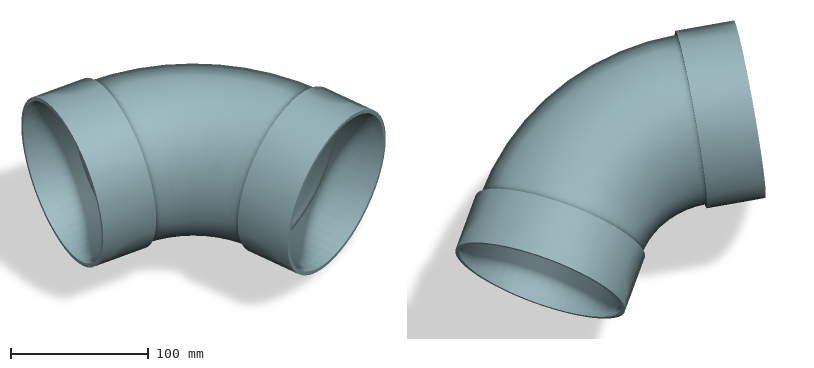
import cadquery as cq
import math

bend_angle = 60.0
bend_radius = 124.8
socket_length = 43.1
socket_diameter = 131.0
socket_bore = 125.0
bend_diameter = 125.0
bend_bore = 118.9

angle = math.radians(bend_angle)
bend_end = (bend_radius * (1 - math.cos(angle)), bend_radius * math.sin(angle), 0)
outlet_direction = (math.sin(angle), math.cos(angle), 0)


def bend(diameter):
    """Solid round bar following the bend."""
    profile = cq.Workplane("XZ").circle(diameter / 2)
    return profile.revolve(bend_angle, (bend_radius, 0), (bend_radius, -1))


def socket_plane(start, direction):
    """Plane across the end of the bend, facing out of the socket."""
    return cq.Plane(origin=start, xDir=(0, 0, 1), normal=direction)


def socket_body(plane):
    """Solid cylinder of one socket, from the bend outwards."""
    return cq.Workplane(plane).circle(socket_diameter / 2).extrude(socket_length)


def socket_cavity(plane):
    """Inside of one socket: the bend bore flares out over a rounded lip to the socket bore."""
    bore_radius = bend_bore / 2
    socket_radius = socket_bore / 2
    lip_radius = socket_radius - bore_radius
    lip_middle = lip_radius * math.sqrt(0.5)
    half_section = cq.Workplane(cq.Plane(plane.origin, plane.xDir, plane.yDir * -1))
    return (
        half_section.lineTo(bore_radius, 0)
        .threePointArc((socket_radius - lip_middle, lip_middle), (socket_radius, lip_radius))
        .lineTo(socket_radius, socket_length)
        .lineTo(0, socket_length)
        .close()
        .revolve(360, (0, 0), (0, 1))
    )


outside = bend(bend_diameter)
inside = bend(bend_bore)
for start, direction in (((0, 0, 0), (0, -1, 0)), (bend_end, outlet_direction)):
    plane = socket_plane(start, direction)
    outside = outside.union(socket_body(plane))
    inside = inside.union(socket_cavity(plane))

result = outside.cut(inside)